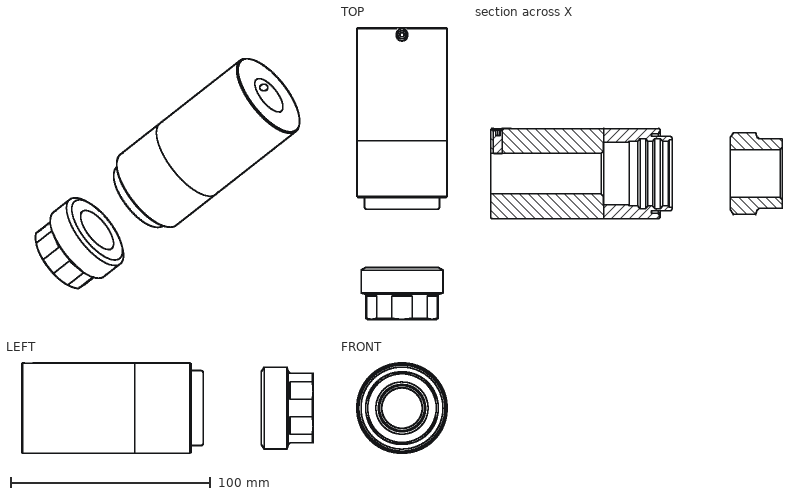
import cadquery as cq
import math

TOTAL_LENGTH = 146.3

BARREL_DIAMETER = 45.3
BARREL_RADIUS = BARREL_DIAMETER / 2
BARREL_FRONT = 61.1
SPLIT_Y = 89.7
REAR_CHAMFER = 0.6
FRONT_CHAMFER = 0.7

SPIGOT_DIAMETER = 37.7
SPIGOT_FRONT = 55.1
SPIGOT_EDGE_RADIUS = 1.5
RECESS_RIM_DIAMETER = 43.2
RECESS_DIAMETER = 39.8
RECESS_CHAMFER_LENGTH = 1.0
RECESS_DEPTH = 4.4
RECESS_FLOOR = BARREL_FRONT + RECESS_DEPTH

MOUTH_DIAMETER = 33.6
MOUTH_DEPTH = 1.5
MOUTH_SLOPE_LENGTH = 0.6
BORE_DIAMETER = 32.0
INNER_BORE_DIAMETER = 31.0
INNER_BORE_FRONT = 76.8
GROOVE_DIAMETER = 34.8
GROOVE_PITCH = 7.5
GROOVE_COUNT = 2
FIRST_GROOVE_Y = 60.0
GROOVE_FLAT = 2.8
GROOVE_SLOPE_LENGTH = 1.2

CLAMP_BORE_DIAMETER = 20.2
CLAMP_BORE_MOUTH_DIAMETER = 22.5

SCREW_Y = 142.6
SCREW_DIAMETER = 4.1
SCREW_SINK_DIAMETER = 6.1
SCREW_BOTTOM_Z = CLAMP_BORE_DIAMETER / 2
SCREW_TOP_Z = 21.6
HEX_SIDES = 6
HEX_SOCKET_ACROSS_FLATS = 2.0
HEX_SOCKET_DEPTH = 2.5

FLANGE_DIAMETER = 41.1
FLANGE_FRONT = 12.6
FLANGE_BACK = 26.2
FLANGE_FRONT_SLOPE_LENGTH = 0.7
FLANGE_BACK_CHAMFER_LENGTH = 1.5
NUT_BODY_DIAMETER = 36.4
FLANGE_BACK_FACE_DIAMETER = NUT_BODY_DIAMETER
NUT_END_DIAMETER = 34.4
NUT_END_CHAMFER_LENGTH = 0.7
NUT_ACROSS_FLATS = 35.0
FLAT_LENGTH = 11.7
NUT_BORE_DIAMETER = 23.7
NUT_BORE_MOUTH_DIAMETER = 26.2


def turned(points):
    """Solid of revolution about Y from (diameter, y) pairs."""
    outline = [(diameter / 2, y) for diameter, y in points]
    return cq.Workplane("XY").polyline(outline).close().revolve(360, (0, 0, 0), (0, 1, 0))


def groove(front_y):
    """Ring groove with a flat root and two sloping sides."""
    root_front = front_y + GROOVE_SLOPE_LENGTH
    root_back = root_front + GROOVE_FLAT
    back_y = root_back + GROOVE_SLOPE_LENGTH
    return turned([
        (0, front_y),
        (BORE_DIAMETER, front_y),
        (GROOVE_DIAMETER, root_front),
        (GROOVE_DIAMETER, root_back),
        (BORE_DIAMETER, back_y),
        (0, back_y),
    ])


def front_bore():
    """Stepped bore, widest at the mouth of the spigot."""
    mouth_back = SPIGOT_FRONT + MOUTH_DEPTH
    return turned([
        (0, SPIGOT_FRONT),
        (MOUTH_DIAMETER, SPIGOT_FRONT),
        (MOUTH_DIAMETER, mouth_back),
        (BORE_DIAMETER, mouth_back + MOUTH_SLOPE_LENGTH),
        (BORE_DIAMETER, INNER_BORE_FRONT),
        (INNER_BORE_DIAMETER, INNER_BORE_FRONT),
        (INNER_BORE_DIAMETER, SPLIT_Y),
        (0, SPLIT_Y),
    ])


def make_front_sleeve():
    shell = turned([
        (0, BARREL_FRONT),
        (BARREL_DIAMETER - 2 * FRONT_CHAMFER, BARREL_FRONT),
        (BARREL_DIAMETER, BARREL_FRONT + FRONT_CHAMFER),
        (BARREL_DIAMETER, SPLIT_Y),
        (0, SPLIT_Y),
    ])
    recess = turned([
        (0, BARREL_FRONT),
        (RECESS_RIM_DIAMETER, BARREL_FRONT),
        (RECESS_DIAMETER, BARREL_FRONT + RECESS_CHAMFER_LENGTH),
        (RECESS_DIAMETER, RECESS_FLOOR),
        (0, RECESS_FLOOR),
    ])
    spigot = turned([
        (0, SPIGOT_FRONT),
        (SPIGOT_DIAMETER, SPIGOT_FRONT),
        (SPIGOT_DIAMETER, RECESS_FLOOR),
        (0, RECESS_FLOOR),
    ])
    spigot = spigot.faces("<Y").edges().fillet(SPIGOT_EDGE_RADIUS)
    sleeve = shell.cut(recess).union(spigot).cut(front_bore())
    for i in range(GROOVE_COUNT):
        sleeve = sleeve.cut(groove(FIRST_GROOVE_Y + i * GROOVE_PITCH))
    return sleeve


def screw_cylinder(bottom_z, top_z):
    """Upright cylinder on the axis of the set screw."""
    base = cq.Workplane("XY", origin=(0, SCREW_Y, bottom_z))
    return base.circle(SCREW_DIAMETER / 2).extrude(top_z - bottom_z)


def screw_sink():
    """Countersink at the outer end of the screw hole."""
    depth = (SCREW_SINK_DIAMETER - SCREW_DIAMETER) / 2
    cone = cq.Solid.makeCone(
        SCREW_DIAMETER / 2,
        SCREW_SINK_DIAMETER / 2,
        depth,
        cq.Vector(0, SCREW_Y, BARREL_RADIUS - depth),
        cq.Vector(0, 0, 1),
    )
    return cq.Workplane(cone)


def make_rear_sleeve():
    mouth_chamfer = (CLAMP_BORE_MOUTH_DIAMETER - CLAMP_BORE_DIAMETER) / 2
    sleeve = turned([
        (CLAMP_BORE_MOUTH_DIAMETER, SPLIT_Y),
        (BARREL_DIAMETER, SPLIT_Y),
        (BARREL_DIAMETER, TOTAL_LENGTH - REAR_CHAMFER),
        (BARREL_DIAMETER - 2 * REAR_CHAMFER, TOTAL_LENGTH),
        (CLAMP_BORE_DIAMETER, TOTAL_LENGTH),
        (CLAMP_BORE_DIAMETER, SPLIT_Y + mouth_chamfer),
    ])
    return sleeve.cut(screw_cylinder(0, BARREL_RADIUS)).cut(screw_sink())


def make_set_screw():
    across_corners = HEX_SOCKET_ACROSS_FLATS / math.cos(math.pi / HEX_SIDES)
    top = cq.Workplane("XY", origin=(0, SCREW_Y, SCREW_TOP_Z))
    socket = top.polygon(HEX_SIDES, across_corners).extrude(-HEX_SOCKET_DEPTH)
    return screw_cylinder(SCREW_BOTTOM_Z, SCREW_TOP_Z).cut(socket)


def wrench_flat():
    """Cutter for the upper wrench flat, with a 45 degree run-out toward the flange."""
    flat_z = NUT_ACROSS_FLATS / 2
    run_out = (NUT_BODY_DIAMETER - NUT_ACROSS_FLATS) / 2
    outline = [
        (0, flat_z),
        (FLAT_LENGTH, flat_z),
        (FLAT_LENGTH + run_out, flat_z + run_out),
        (FLAT_LENGTH + run_out, BARREL_RADIUS),
        (0, BARREL_RADIUS),
    ]
    half_width = NUT_BODY_DIAMETER / 3
    return cq.Workplane("YZ").polyline(outline).close().extrude(half_width, both=True)


def make_nut():
    body = turned([
        (0, 0),
        (NUT_END_DIAMETER, 0),
        (NUT_BODY_DIAMETER, NUT_END_CHAMFER_LENGTH),
        (NUT_BODY_DIAMETER, FLANGE_FRONT),
        (0, FLANGE_FRONT),
    ])
    for i in range(HEX_SIDES):
        body = body.cut(wrench_flat().rotate((0, 0, 0), (0, 1, 0), i * 360 / HEX_SIDES))
    flange = turned([
        (0, FLANGE_FRONT),
        (NUT_BODY_DIAMETER, FLANGE_FRONT),
        (FLANGE_DIAMETER, FLANGE_FRONT + FLANGE_FRONT_SLOPE_LENGTH),
        (FLANGE_DIAMETER, FLANGE_BACK - FLANGE_BACK_CHAMFER_LENGTH),
        (FLANGE_BACK_FACE_DIAMETER, FLANGE_BACK),
        (0, FLANGE_BACK),
    ])
    mouth_chamfer = (NUT_BORE_MOUTH_DIAMETER - NUT_BORE_DIAMETER) / 2
    bore = turned([
        (0, 0),
        (NUT_BORE_MOUTH_DIAMETER, 0),
        (NUT_BORE_DIAMETER, mouth_chamfer),
        (NUT_BORE_DIAMETER, FLANGE_BACK),
        (0, FLANGE_BACK),
    ])
    return body.union(flange).cut(bore)


front_sleeve = make_front_sleeve()
rear_sleeve = make_rear_sleeve()
set_screw = make_set_screw()
nut = make_nut()

result = cq.Compound.makeCompound([
    front_sleeve.val(),
    rear_sleeve.val(),
    set_screw.val(),
    nut.val(),
])